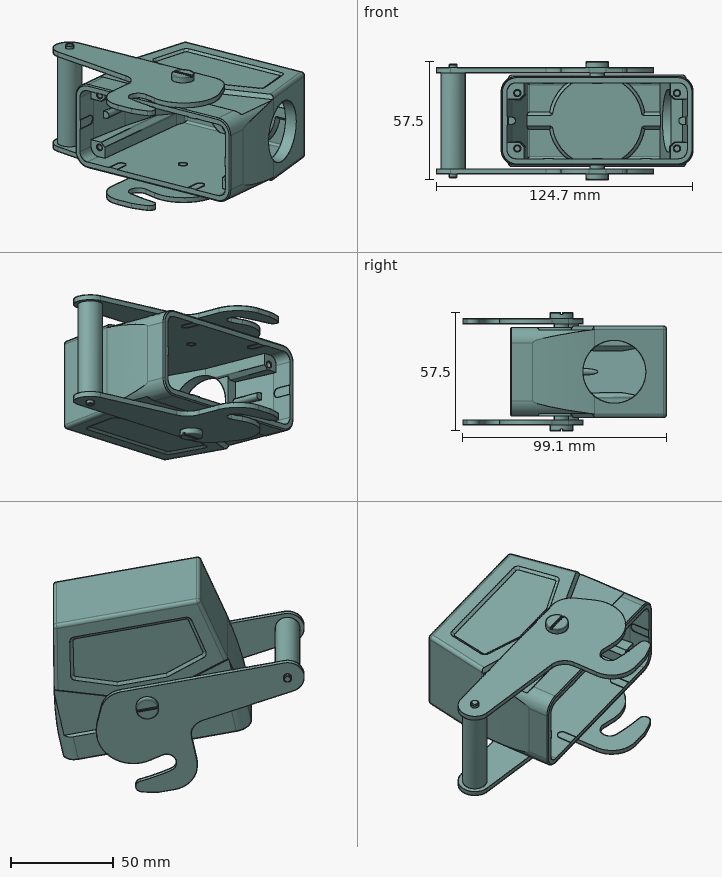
import cadquery as cq
import math


BASE_HALF_X = 46.6
BASE_HALF_Z = 21.6
BASE_CORNER_R = 7.5
MOUTH_CHAMFER = 0.6
TAPER_START_Y = 10.9
SHOULDER_HALF_X = 43.0
SHOULDER_Y = 40.8
TOP_HALF_X = 36.3
TOP_Y = 76.0
UPPER_HALF_Z = 22.3
UPPER_FILLET = 1.9
V_HALF_X = 12.6
V_FOOT_Y = 29.2
V_SLOPE = 0.34

RECESS_FLOOR_Z = 20.2
RECESS_HALF_X = 44.9
RECESS_BOTTOM_Y = 14.1
RECESS_DRAFT = 35
PANEL_DEPTH = 1.0
PANEL_BEVEL = 1.6
PANEL_CORNER_R = 2.7
PANEL_TOP_Y = 67.8
PANEL_TOP_HALF_X = 29.8
PANEL_SIDE_Y = 44.9
PANEL_SIDE_HALF_X = 33.9
PANEL_BOTTOM_Y = 37.0
PANEL_BOTTOM_HALF_X = 12.3

CAVITY_HALF_X = 43.8
CAVITY_HALF_Z = 18.5
CAVITY_CORNER_R = 4.4
CAVITY_KINK_HALF_X = 41.4
CAVITY_KINK_Y = 33.7
FLOOR_Y = 73.0
FLOOR_HALF_X = 33.7
FLOOR_FILLET = 1.1
CROSS_HEIGHT = 1.9
CROSS_CORNER_R = 1.2
CROSS_DRAFT = 40
DISC_R = 22.0
BAR_HALF_Z = 2.6
ENTRY_D = 30.5
ENTRY_Y = 50.5
ENTRY_PAD_X = 35.8
ENTRY_PAD_FLOOR_X = 30.4
ENTRY_PAD_SLOPE_Y = 43.7
SCREW_X = 38.8
SCREW_Z = 13.5
SCREW_HOLE_D = 2.7
SCREW_COUNTERSINK = 0.4
SCREW_HOLE_DEPTH = 7.5
SCREW_BOSS_Y = 9.1
SCREW_BOSS_INNER_X = 35.5
SCREW_BOSS_INNER_Z = 10.6
SCREW_BOSS_CHAMFER = 2.1
SCREW_BOSS_DRAFT = 0.7
POST_D = 3.5
POST_X = 41.4
POST_Y = 18.1
RIB_W = 4.7
RIB_HEIGHT = 0.2
RIB_X = 23.7
SIDE_RIB_END_Y = 6.5
END_RIB_END_Y = 7.9

LEVER_INNER_Z = 23.3
LEVER_T = 2.5
LEVER_OUTER_Z = LEVER_INNER_Z + LEVER_T
PIN_X = -70.0
PIN_Y = 27.2
ARM_R = 8.1
PIN_D = 4.0
PIN_END_Z = 27.7
PIN_CHAMFER = 0.5
HANDLE_D = 12.0
PIVOT_Y = 24.8
PIVOT_BOSS_D = 25.0
PIVOT_NECK_D = 7.0
PIVOT_TIP_D = 4.5
PIVOT_TIP_Z = CAVITY_HALF_Z - RIB_HEIGHT
HEAD_D = 11.0
OVERALL_Z = 57.5
HEAD_END_Z = OVERALL_Z / 2
HEAD_FILLET = 0.4
HEAD_SLOT_W = 1.1
HEAD_SLOT_DEPTH = 0.9

SHOULDER_R = 12.1
SHOULDER_CENTER = (11.2, PIN_Y + ARM_R - SHOULDER_R)
CAM_R = 18.1
CAM_CENTER = (9.4, 12.7)
ARM_SLOPE = 8.9
SHANK_X = -17.6
NECK_TANGENT = 7.2
HOOK_R = 13.6
HOOK_BOTTOM_Y = -23.1
GAP_R = 4.7
GAP_CENTER = (-3.0, -7.7)
GAP_SLOPE = 15.0
TIP_TOP = (11.5, -15.2)
TIP_SIDE = (14.5, -18.2)
TIP_BOTTOM = (12.3, -21.1)
HOOK_BELLY = (4.2, HOOK_BOTTOM_Y)
HOOK_BELLY_MID = (8.5, -22.2)


def block(x0, x1, y0, y1, z0, z1):
    return cq.Workplane("XY").box(x1 - x0, y1 - y0, z1 - z0, centered=False).translate((x0, y0, z0))


def cylinder_z(x, y, diameter, z0, z1):
    return cq.Workplane("XY", origin=(x, y, z0)).circle(diameter / 2).extrude(z1 - z0)


def cylinder_y(x, z, diameter, y0, y1):
    return cq.Workplane("XZ", origin=(x, y0, z)).circle(diameter / 2).extrude(y0 - y1)


def both_faces(shape):
    """The shape together with its mirror image on the other side of Z = 0."""
    return shape.union(shape.mirror("XY"))


def plate(points, half_z):
    """A polygon in X and Y, extruded equally to both sides of Z = 0."""
    return cq.Workplane("XY").polyline(points).close().extrude(half_z, both=True)


def symmetric(right_points):
    """A closed outline from its right half, listed from bottom to top."""
    return right_points + [(-x, y) for x, y in reversed(right_points)]


def on_circle(center, radius, degrees):
    angle = math.radians(degrees)
    return (center[0] + radius * math.cos(angle), center[1] + radius * math.sin(angle))


def rounded_prism(half_x, half_z, radius, length):
    """A rounded rectangle in X and Z, running from Y = 0 to the given length."""
    prism = cq.Workplane("XZ").rect(2 * half_x, 2 * half_z).extrude(-length)
    return prism.edges("|Y").fillet(radius)


def between_end_walls():
    """Block between the end walls: straight tapers that curve smoothly down to the skirt."""
    outline = (
        cq.Workplane("XY")
        .lineTo(0, TOP_Y)
        .lineTo(TOP_HALF_X, TOP_Y)
        .lineTo(SHOULDER_HALF_X, SHOULDER_Y)
        .tangentArcPoint((BASE_HALF_X, TAPER_START_Y), relative=False)
        .lineTo(BASE_HALF_X, 0)
        .close()
    )
    half = outline.extrude(UPPER_HALF_Z, both=True)
    return half.union(half.mirror("YZ"))


def v_height(x):
    """Y of the foot of the V-shaped step."""
    return V_FOOT_Y + V_SLOPE * max(abs(x) - V_HALF_X, 0)


def base_skirt():
    skirt = rounded_prism(BASE_HALF_X, BASE_HALF_Z, BASE_CORNER_R, SHOULDER_Y)
    skirt = skirt.faces("<Y").chamfer(MOUTH_CHAMFER)
    return skirt.intersect(between_end_walls())


def upper_shell():
    above_v = symmetric([
        (V_HALF_X, V_FOOT_Y),
        (BASE_HALF_X, v_height(BASE_HALF_X)),
        (BASE_HALF_X, TOP_Y),
    ])
    shell = between_end_walls().intersect(plate(above_v, UPPER_HALF_Z))
    upper_edges = cq.selectors.BoxSelector(
        (-BASE_HALF_X, SHOULDER_Y, -BASE_HALF_X),
        (BASE_HALF_X, 2 * TOP_Y, BASE_HALF_X),
    )
    return shell.edges(upper_edges).fillet(UPPER_FILLET)


def face_recess():
    """Sunk field below the V step, with sloping walls."""
    outline = symmetric([
        (RECESS_HALF_X, RECESS_BOTTOM_Y),
        (RECESS_HALF_X, v_height(RECESS_HALF_X)),
        (V_HALF_X, V_FOOT_Y),
    ])
    depth = UPPER_HALF_Z - RECESS_FLOOR_Z
    recess = cq.Workplane("XY", origin=(0, 0, RECESS_FLOOR_Z)).polyline(outline).close()
    return recess.extrude(depth, taper=-RECESS_DRAFT)


def label_panel():
    """Bevelled pocket in the raised part of each large face."""
    outline = symmetric([
        (PANEL_BOTTOM_HALF_X, PANEL_BOTTOM_Y),
        (PANEL_SIDE_HALF_X, PANEL_SIDE_Y),
        (PANEL_TOP_HALF_X, PANEL_TOP_Y),
    ])
    draft = math.degrees(math.atan2(PANEL_BEVEL, PANEL_DEPTH))
    rim = plate(outline, UPPER_HALF_Z).edges("|Z and (>Y or >X or <X)").fillet(PANEL_CORNER_R)
    rim_wire = rim.faces(">Z").wires().toPending()
    return rim_wire.extrude(-PANEL_DEPTH, combine=False, taper=draft)


def cavity():
    outline = symmetric([
        (CAVITY_HALF_X, 0),
        (CAVITY_HALF_X, TAPER_START_Y),
        (CAVITY_KINK_HALF_X, CAVITY_KINK_Y),
        (FLOOR_HALF_X, FLOOR_Y),
    ])
    space = rounded_prism(CAVITY_HALF_X, CAVITY_HALF_Z, CAVITY_CORNER_R, FLOOR_Y)
    space = space.intersect(plate(outline, CAVITY_HALF_Z))
    return space.faces(">Y").edges().fillet(FLOOR_FILLET)


def floor_cross():
    """Raised disc with a bar across it on the cavity floor, with sloping edges."""
    base = cq.Workplane("XZ", origin=(0, FLOOR_Y, 0))
    disc = base.circle(DISC_R).extrude(CROSS_HEIGHT)
    bar = base.rect(2 * BASE_HALF_X, 2 * BAR_HALF_Z).extrude(CROSS_HEIGHT)
    straight = disc.union(bar)
    inner_corners = cq.selectors.BoxSelector((-DISC_R, 0, -BASE_HALF_Z), (DISC_R, FLOOR_Y, BASE_HALF_Z))
    straight = straight.edges("|Y").edges(inner_corners).fillet(CROSS_CORNER_R)
    top = straight.faces("<Y").wires().toPending()
    return top.workplane().extrude(-CROSS_HEIGHT, combine=False, taper=-CROSS_DRAFT)


def entry_pad():
    """Thickened +X wall around the cable entry."""
    outline = [
        (BASE_HALF_X, CAVITY_KINK_Y),
        (ENTRY_PAD_X, CAVITY_KINK_Y),
        (ENTRY_PAD_X, ENTRY_PAD_SLOPE_Y),
        (ENTRY_PAD_FLOOR_X, FLOOR_Y),
        (BASE_HALF_X, FLOOR_Y),
    ]
    return plate(outline, CAVITY_HALF_Z)


def screw_boss(side, face):
    """Drafted corner boss with a countersunk screw hole, placed by the signs of X and Z."""
    outline = [
        (SCREW_BOSS_INNER_X + SCREW_BOSS_CHAMFER, SCREW_BOSS_INNER_Z),
        (BASE_HALF_X, SCREW_BOSS_INNER_Z),
        (BASE_HALF_X, BASE_HALF_Z),
        (SCREW_BOSS_INNER_X, BASE_HALF_Z),
        (SCREW_BOSS_INNER_X, SCREW_BOSS_INNER_Z + SCREW_BOSS_CHAMFER),
    ]
    base = cq.Workplane("XZ", origin=(0, SCREW_BOSS_Y, 0))
    boss = base.polyline(outline).close().extrude(SCREW_BOSS_Y - FLOOR_Y, taper=-SCREW_BOSS_DRAFT)
    hole = cylinder_y(SCREW_X, SCREW_Z, SCREW_HOLE_D, SCREW_BOSS_Y, SCREW_BOSS_Y + SCREW_HOLE_DEPTH)
    boss = boss.cut(hole)
    boss = boss.faces("<Y").edges("%CIRCLE").chamfer(SCREW_COUNTERSINK)
    if side < 0:
        boss = boss.mirror("YZ")
    if face < 0:
        boss = boss.mirror("XY")
    return boss


def end_post(side):
    post = cylinder_y(side * POST_X, 0, POST_D, POST_Y, FLOOR_Y)
    outer_x = side * BASE_HALF_X
    web = block(min(side * POST_X, outer_x), max(side * POST_X, outer_x),
                POST_Y, FLOOR_Y, -POST_D / 2, POST_D / 2)
    return post.union(web)


def wall_ribs():
    """Low round-ended ribs running in from the mouth on all four cavity walls."""
    ribs = cq.Workplane("XY")
    side_z = CAVITY_HALF_Z - RIB_HEIGHT
    for x in (-RIB_X, RIB_X):
        rib = cylinder_z(x, SIDE_RIB_END_Y, RIB_W, side_z, BASE_HALF_Z)
        rib = rib.union(block(x - RIB_W / 2, x + RIB_W / 2, 0, SIDE_RIB_END_Y, side_z, BASE_HALF_Z))
        ribs = ribs.union(both_faces(rib))
    end_x = CAVITY_HALF_X - RIB_HEIGHT
    end_rib = block(end_x, BASE_HALF_X, 0, END_RIB_END_Y, -RIB_W / 2, RIB_W / 2)
    round_end = cq.Workplane("YZ", origin=(end_x, END_RIB_END_Y, 0)).circle(RIB_W / 2)
    end_rib = end_rib.union(round_end.extrude(BASE_HALF_X - end_x))
    return ribs.union(end_rib).union(end_rib.mirror("YZ"))


def hood():
    outside = base_skirt().union(upper_shell())
    outside = outside.cut(both_faces(face_recess())).cut(both_faces(label_panel()))
    pivot_boss = cylinder_z(0, PIVOT_Y, PIVOT_BOSS_D, CAVITY_HALF_Z, BASE_HALF_Z)
    outside = outside.union(both_faces(pivot_boss))

    inside = entry_pad().union(floor_cross()).union(wall_ribs())
    for side in (-1, 1):
        inside = inside.union(end_post(side))
        for face in (-1, 1):
            inside = inside.union(screw_boss(side, face))
    space = cavity().cut(inside)

    entry_hole = cq.Workplane("YZ", origin=(0, ENTRY_Y, 0)).circle(ENTRY_D / 2)
    entry = entry_hole.extrude(BASE_HALF_X)
    return outside.cut(space).cut(entry)


def lever_plate():
    gap_x = SHOULDER_CENTER[0] - CAM_CENTER[0]
    gap_y = SHOULDER_CENTER[1] - CAM_CENTER[1]
    spread = math.degrees(math.acos((CAM_R - SHOULDER_R) / math.hypot(gap_x, gap_y)))
    tangent = math.degrees(math.atan2(gap_y, gap_x)) - spread

    arm_bottom = on_circle((PIN_X, PIN_Y), ARM_R, -90 - ARM_SLOPE)
    neck_y = arm_bottom[1] - (SHANK_X - arm_bottom[0]) * math.tan(math.radians(ARM_SLOPE))
    neck_start = on_circle((SHANK_X, neck_y), NECK_TANGENT, 180 - ARM_SLOPE)
    neck_end = (SHANK_X, neck_y - NECK_TANGENT)

    hook_center = (SHANK_X + HOOK_R, HOOK_BOTTOM_Y + HOOK_R)
    gap_bottom = on_circle(GAP_CENTER, GAP_R, -90 - GAP_SLOPE)
    gap_top = on_circle(GAP_CENTER, GAP_R, 90 - GAP_SLOPE)

    outline = (
        cq.Workplane("XY", origin=(0, 0, LEVER_INNER_Z))
        .moveTo(PIN_X, PIN_Y + ARM_R)
        .lineTo(SHOULDER_CENTER[0], PIN_Y + ARM_R)
        .threePointArc(
            on_circle(SHOULDER_CENTER, SHOULDER_R, (90 + tangent) / 2),
            on_circle(SHOULDER_CENTER, SHOULDER_R, tangent),
        )
        .lineTo(*on_circle(CAM_CENTER, CAM_R, tangent))
        .threePointArc(
            on_circle(CAM_CENTER, CAM_R, -45),
            on_circle(CAM_CENTER, CAM_R, -90 - GAP_SLOPE),
        )
        .lineTo(*gap_top)
        .threePointArc(on_circle(GAP_CENTER, GAP_R, 180), gap_bottom)
        .tangentArcPoint(TIP_TOP, relative=False)
        .threePointArc(TIP_SIDE, TIP_BOTTOM)
        .threePointArc(HOOK_BELLY_MID, HOOK_BELLY)
        .lineTo(hook_center[0], HOOK_BOTTOM_Y)
        .threePointArc(on_circle(hook_center, HOOK_R, -135), (SHANK_X, hook_center[1]))
        .lineTo(*neck_end)
        .tangentArcPoint(neck_start, relative=False)
        .lineTo(*arm_bottom)
        .threePointArc((PIN_X - ARM_R, PIN_Y), (PIN_X, PIN_Y + ARM_R))
        .close()
    )
    return outline.extrude(LEVER_T)


def pivot_screw():
    tip = cylinder_z(0, PIVOT_Y, PIVOT_TIP_D, PIVOT_TIP_Z, RECESS_FLOOR_Z)
    neck = cylinder_z(0, PIVOT_Y, PIVOT_NECK_D, RECESS_FLOOR_Z, LEVER_OUTER_Z)
    head = cylinder_z(0, PIVOT_Y, HEAD_D, LEVER_OUTER_Z, HEAD_END_Z).faces(">Z").edges().fillet(HEAD_FILLET)
    slot = block(-HEAD_D, HEAD_D, PIVOT_Y - HEAD_SLOT_W / 2, PIVOT_Y + HEAD_SLOT_W / 2,
                 HEAD_END_Z - HEAD_SLOT_DEPTH, HEAD_END_Z)
    return tip.union(neck).union(head.cut(slot))


def handle():
    grip = cylinder_z(PIN_X, PIN_Y, HANDLE_D, -LEVER_INNER_Z, LEVER_INNER_Z)
    pin = cylinder_z(PIN_X, PIN_Y, PIN_D, -PIN_END_Z, PIN_END_Z)
    pin = pin.faces("<Z or >Z").edges().chamfer(PIN_CHAMFER)
    return grip.union(pin)


lever = both_faces(lever_plate()).union(both_faces(pivot_screw())).union(handle())
result = hood().union(lever)